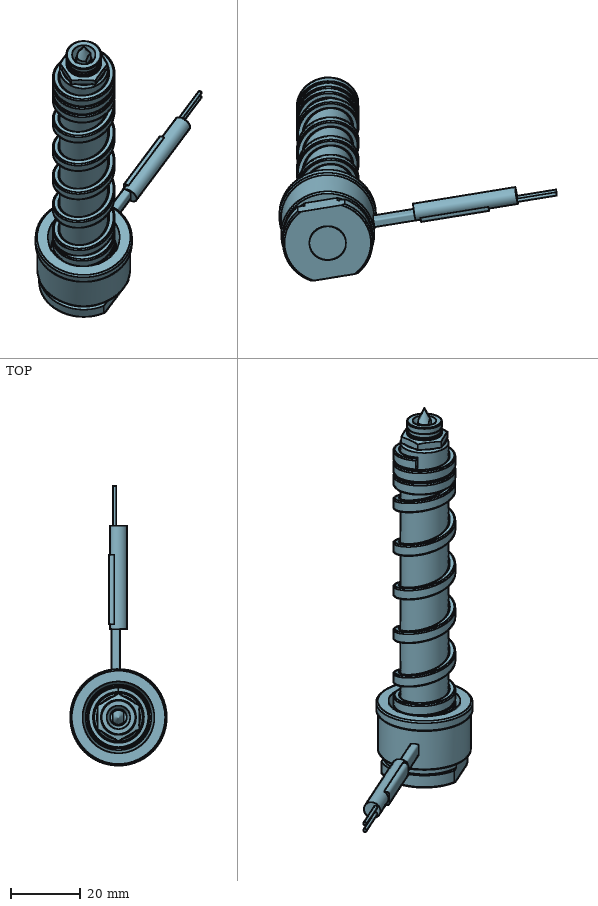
import cadquery as cq
import math

TIP_Z = 116.2
PAD_TOP = 0.25
BASE_TOP = 4.4
NECK_TOP = 6.2
FLANGE_BOTTOM = 18.9
FLANGE_TOP = 22.2
COUNTERBORE_FLOOR = 16.5
CORE_TOP = 105.8
HEX_TOP = 108.2
COLLAR_TOP = 108.9
RING_BOTTOM = 110.05
RING_TOP = 112.15
BORE_FLOOR = 109.4

PAD_R = 5.3
BASE_R = 13.0
NECK_R = 12.0
BODY_R = 13.5
FLANGE_R = 14.0
COUNTERBORE_R = 10.4
COUNTERBORE_FLOOR_R = 9.5
CORE_R = 7.0
RING_R = 5.1
GROOVE_R = 4.75
BORE_R = 3.4
BORE_FLOOR_R = 2.4

BODY_CHAMFER = 0.5
CORE_CHAMFER = 0.7
RING_CHAMFER = 0.25
HEX_CONE_DROP = 0.5

WRENCH_FLATS = 22.0
HEX_SIDES = 6
HEX_FLATS = 12.0

TIP_R = 2.1
TIP_CONE_HEIGHT = 4.4
TIP_FLATS = 3.2

COIL_R = 9.0
COIL_SUNK_R = CORE_R - 0.4
COIL_STRIP = 3.5
COIL_CHAMFER = 0.4
TIGHT_PITCH = 4.0
OPEN_PITCH = 14.0
LOWER_TIGHT_TURNS = 1.5
UPPER_TIGHT_TURNS = 2.625
RAMP_TURNS = 0.44
OPEN_TURNS = 4.245
COIL_END_ANGLE = 90.0
COIL_TOP = 103.8
POINTS_PER_TURN = 20

LEAD_Z = 12.75
LEAD_END = 67.0
SLEEVE_R = 2.5
SLEEVE_START = 25.5
SLEEVE_LENGTH = 30.0
SLEEVE_PAD_X = -2.8
SLEEVE_PAD_START = 27.0
SLEEVE_PAD_LENGTH = 20.0
SLEEVE_PAD_HEIGHT = 4.4
SLEEVE_PAD_FILLET = 0.9
CABLE_X = -0.8
CABLE_WIDTH = 2.5
CABLE_HEIGHT = 3.9
CABLE_FILLET = 0.55
CABLE_START = BODY_R - 1.5
WIRE_R = 0.5
WIRE_X = -1.1
WIRE_SPACING = 2.15


def cylinder(radius, bottom, top):
    return cq.Workplane("XY").workplane(offset=bottom).circle(radius).extrude(top - bottom)


def tapered_plug(bottom_radius, top_radius, bottom, top):
    plug = cq.Solid.makeCone(bottom_radius, top_radius, top - bottom, cq.Vector(0, 0, bottom))
    return cq.Workplane("XY").newObject([plug])


def make_base():
    base = cylinder(BASE_R, PAD_TOP, BASE_TOP).faces("<Z").chamfer(BODY_CHAMFER)
    base = base.union(cylinder(NECK_R, BASE_TOP, NECK_TOP))
    flats = cq.Workplane("XY").box(WRENCH_FLATS, 2 * BASE_R, NECK_TOP, centered=(True, True, False))
    return base.intersect(flats).union(cylinder(PAD_R, 0, PAD_TOP))


def make_body():
    body = cylinder(BODY_R, NECK_TOP, FLANGE_BOTTOM).faces("<Z").chamfer(BODY_CHAMFER)
    flange = cylinder(FLANGE_R, FLANGE_BOTTOM, FLANGE_TOP).faces("<Z or >Z").chamfer(BODY_CHAMFER)
    counterbore = tapered_plug(COUNTERBORE_FLOOR_R, COUNTERBORE_R, COUNTERBORE_FLOOR, FLANGE_TOP)
    return body.union(flange).cut(counterbore)


def make_core():
    return cylinder(CORE_R, NECK_TOP, CORE_TOP).faces(">Z").chamfer(CORE_CHAMFER)


def make_hexagon():
    corner_r = HEX_FLATS / 2 / math.cos(math.pi / HEX_SIDES)
    height = HEX_TOP - CORE_TOP
    prism = (
        cq.Workplane("XY", origin=(0, 0, CORE_TOP))
        .polygon(HEX_SIDES, 2 * corner_r)
        .extrude(height)
        .rotate((0, 0, 0), (0, 0, 1), 180 / HEX_SIDES)
    )
    envelope = cylinder(corner_r, CORE_TOP, HEX_TOP).faces(">Z").chamfer(HEX_CONE_DROP, corner_r - RING_R)
    return prism.intersect(envelope)


def make_nozzle():
    nozzle = cylinder(RING_R, HEX_TOP, COLLAR_TOP).faces(">Z").chamfer(RING_CHAMFER)
    nozzle = nozzle.union(cylinder(GROOVE_R, COLLAR_TOP, RING_BOTTOM))
    return nozzle.union(cylinder(RING_R, RING_BOTTOM, RING_TOP).faces("<Z or >Z").chamfer(RING_CHAMFER))


def make_tip():
    shoulder_z = TIP_Z - TIP_CONE_HEIGHT
    tip = (
        cq.Workplane("XZ")
        .moveTo(0, BORE_FLOOR)
        .lineTo(TIP_R, BORE_FLOOR)
        .lineTo(TIP_R, shoulder_z)
        .lineTo(0, TIP_Z)
        .close()
        .revolve(360, (0, 0, 0), (0, 1, 0))
    )
    flats = cq.Workplane("XY", origin=(0, 0, BORE_FLOOR)).box(
        TIP_FLATS, 2 * TIP_R, TIP_Z - BORE_FLOOR, centered=(True, True, False)
    )
    return tip.intersect(flats)


def coil_stretches():
    """Stretches from bottom to top: (turns, pitch at start, pitch at end)."""
    return [
        (LOWER_TIGHT_TURNS, TIGHT_PITCH, TIGHT_PITCH),
        (RAMP_TURNS, TIGHT_PITCH, OPEN_PITCH),
        (OPEN_TURNS, OPEN_PITCH, OPEN_PITCH),
        (RAMP_TURNS, OPEN_PITCH, TIGHT_PITCH),
        (UPPER_TIGHT_TURNS, TIGHT_PITCH, TIGHT_PITCH),
    ]


def coil_rise(turns):
    """Height gained after a number of turns from the lower end of the coil."""
    rise = 0.0
    for length, start_pitch, end_pitch in coil_stretches():
        part = min(turns, length)
        rise += start_pitch * part + (end_pitch - start_pitch) * part**2 / (2 * length)
        turns -= part
    return rise


def make_coil():
    total_turns = sum(length for length, _, _ in coil_stretches())
    steps = math.ceil(total_turns * POINTS_PER_TURN)
    start_z = COIL_TOP - COIL_STRIP - coil_rise(total_turns)

    def edge_curve(radius, lift):
        points = []
        for step in range(steps + 1):
            turns = total_turns * step / steps
            angle = math.radians(COIL_END_ANGLE) + 2 * math.pi * (turns - total_turns)
            z = start_z + lift + coil_rise(turns)
            points.append(cq.Vector(radius * math.cos(angle), radius * math.sin(angle), z))
        return cq.Edge.makeSpline(points)

    sunk_lift = CORE_R + COIL_CHAMFER - COIL_SUNK_R
    strip_profile = [
        (COIL_SUNK_R, sunk_lift),
        (CORE_R + COIL_CHAMFER, 0),
        (COIL_R - COIL_CHAMFER, 0),
        (COIL_R, COIL_CHAMFER),
        (COIL_R, COIL_STRIP - COIL_CHAMFER),
        (COIL_R - COIL_CHAMFER, COIL_STRIP),
        (CORE_R + COIL_CHAMFER, COIL_STRIP),
        (COIL_SUNK_R, COIL_STRIP - sunk_lift),
    ]
    curves = [edge_curve(radius, lift) for radius, lift in strip_profile]
    faces = [cq.Face.makeRuledSurface(curves[i - 1], curves[i]) for i in range(len(curves))]
    for end in (0, 1):
        corners = [curve.positionAt(end) for curve in curves]
        faces.append(cq.Face.makeFromWires(cq.Wire.makePolygon(corners, close=True)))
    coil = cq.Solid.makeSolid(cq.Shell.makeShell(faces))
    return cq.Workplane("XY").newObject([coil.fix()])


def lead_box(x_min, x_max, y_start, y_length, height):
    return cq.Workplane("XY", origin=(x_min, y_start, LEAD_Z)).box(
        x_max - x_min, y_length, height, centered=(False, False, True)
    )


def lead_cylinder(radius, x, z, y_start, y_end):
    return cq.Workplane("XZ", origin=(x, y_start, z)).circle(radius).extrude(y_start - y_end)


def make_lead():
    sleeve_end = SLEEVE_START + SLEEVE_LENGTH
    lead = lead_cylinder(SLEEVE_R, 0, LEAD_Z, SLEEVE_START, sleeve_end)
    pad = lead_box(SLEEVE_PAD_X, 0, SLEEVE_PAD_START, SLEEVE_PAD_LENGTH, SLEEVE_PAD_HEIGHT)
    lead = lead.union(pad.edges("|Y and <X").fillet(SLEEVE_PAD_FILLET))
    half_width = CABLE_WIDTH / 2
    cable = lead_box(
        CABLE_X - half_width, CABLE_X + half_width, CABLE_START, SLEEVE_START - CABLE_START, CABLE_HEIGHT
    )
    lead = lead.union(cable.edges("|Y").fillet(CABLE_FILLET))
    for side in (-1, 1):
        wire_z = LEAD_Z + side * WIRE_SPACING / 2
        lead = lead.union(lead_cylinder(WIRE_R, WIRE_X, wire_z, sleeve_end, LEAD_END))
    return lead


result = make_base().union(make_body()).union(make_core())
result = result.union(make_hexagon()).union(make_nozzle())
result = result.cut(tapered_plug(BORE_FLOOR_R, BORE_R, BORE_FLOOR, RING_TOP)).union(make_tip())
result = result.union(make_lead()).union(make_coil())